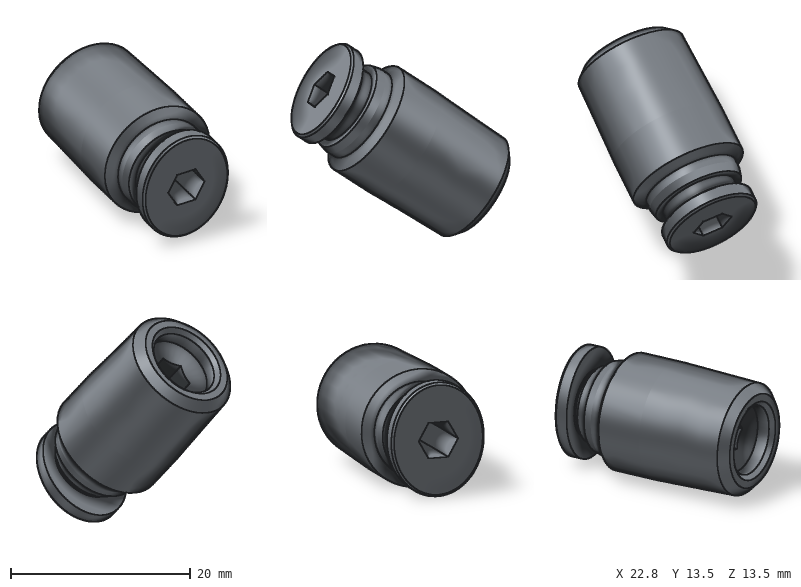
import cadquery as cq
import math

nose_chamfer_end = 1.0
thread_taper_end = 10.99
shoulder_start = 16.25
shoulder_end = 17.02
collar_taper_start = 18.02
collar_end = 19.02
sleeve_end = 20.4
flange_start = 21.15
total_length = 22.75

body_diameter = 13.5
body_radius = body_diameter / 2
thread_nose_radius = 6.44
nose_radius = 5.4
collar_radius = 5.5
collar_tip_radius = 5.25
sleeve_radius = 4.4
neck_radius = 3.75
neck_flare = 0.14

flange_half_width = 5.5
flange_half_height = 6.5
flange_chamfer = 0.25

mouth_radius = 4.5
mouth_chamfer = 0.52
socket_radius = mouth_radius - mouth_chamfer
socket_depth = 2.0
drill_point_angle = 118.0
cone_depth = socket_radius / math.tan(math.radians(drill_point_angle / 2))

hex_across_flats = 4.05
hex_across_corners = hex_across_flats / math.cos(math.pi / 6)


def revolve_about_x(outline):
    """Turn a closed (x, radius) outline around the X axis."""
    return cq.Workplane("XZ").polyline(outline).close().revolve(360, (0, 0, 0), (1, 0, 0))


def turned_body():
    """Tapered thread barrel, collar, sleeve and the neck that flares into the flange."""
    return revolve_about_x([
        (0, 0),
        (0, nose_radius),
        (nose_chamfer_end, thread_nose_radius),
        (thread_taper_end, body_radius),
        (shoulder_start, body_radius),
        (shoulder_end, collar_radius),
        (collar_taper_start, collar_radius),
        (collar_end, collar_tip_radius),
        (collar_end, sleeve_radius),
        (sleeve_end, sleeve_radius),
        (sleeve_end, neck_radius),
        (flange_start - neck_flare, neck_radius),
        (flange_start, neck_radius + neck_flare),
        (flange_start, 0),
    ])


def release_flange():
    """Elliptical flange, chamfered around its outer end face."""
    return (
        cq.Workplane("YZ", origin=(flange_start, 0, 0))
        .ellipse(flange_half_width, flange_half_height)
        .extrude(total_length - flange_start)
        .faces(">X")
        .chamfer(flange_chamfer)
    )


def socket():
    """Chamfered round socket ending in a cone."""
    return revolve_about_x([
        (0, 0),
        (0, mouth_radius),
        (mouth_chamfer, socket_radius),
        (socket_depth, socket_radius),
        (socket_depth + cone_depth, 0),
    ])


def hex_bore():
    """Hexagonal hole through the whole length."""
    return cq.Workplane("YZ").polygon(6, hex_across_corners).extrude(total_length)


result = turned_body().union(release_flange()).cut(socket()).cut(hex_bore())